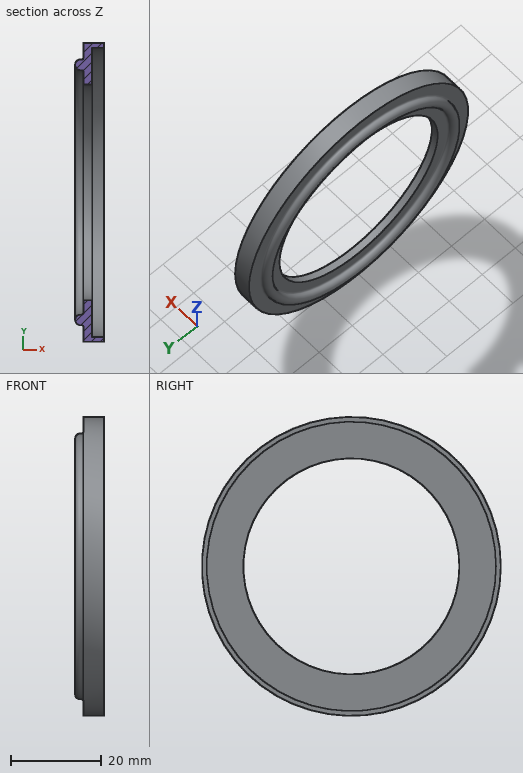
import cadquery as cq

outer_diameter = 66.2
bore_diameter = 47.7
total_thickness = 6.4
bead_height = 1.85
ring_thickness = total_thickness - bead_height

recess_diameter = 64.0
web_thickness = 1.9

bead_outer_diameter = 58.9
bead_inner_diameter = 54.1
root_fillet = 0.4

bead_outer_radius = bead_outer_diameter / 2
bead_inner_radius = bead_inner_diameter / 2
bead_middle_radius = (bead_outer_radius + bead_inner_radius) / 2
crown_radius = (bead_outer_radius - bead_inner_radius) / 2
bead_wall_height = bead_height - crown_radius


def make_ring():
    """Recessed ring from the bead-side face at X = 0 towards +X."""
    ring = (
        cq.Workplane("YZ")
        .circle(outer_diameter / 2)
        .circle(bore_diameter / 2)
        .extrude(ring_thickness)
    )
    recess = (
        cq.Workplane("YZ")
        .workplane(offset=web_thickness)
        .circle(recess_diameter / 2)
        .extrude(ring_thickness - web_thickness)
    )
    return ring.cut(recess)


def make_bead():
    """Bead section with a semicircular crown, revolved about the X axis."""
    return (
        cq.Workplane("XY")
        .moveTo(0, bead_inner_radius)
        .lineTo(-bead_wall_height, bead_inner_radius)
        .threePointArc(
            (-bead_height, bead_middle_radius),
            (-bead_wall_height, bead_outer_radius),
        )
        .lineTo(0, bead_outer_radius)
        .close()
        .revolve(360, (0, 0, 0), (1, 0, 0))
    )


def make_root_fillet(wall_radius, outward):
    """Concave fillet between a bead wall and the ring face; outward is +1 or -1."""
    foot_radius = wall_radius + outward * root_fillet
    arc_offset = root_fillet * (1 - 0.5 ** 0.5)
    return (
        cq.Workplane("XY")
        .moveTo(0, wall_radius)
        .lineTo(-root_fillet, wall_radius)
        .threePointArc(
            (-arc_offset, wall_radius + outward * arc_offset),
            (0, foot_radius),
        )
        .close()
        .revolve(360, (0, 0, 0), (1, 0, 0))
    )


result = (
    make_ring()
    .union(make_bead())
    .union(make_root_fillet(bead_outer_radius, 1))
    .union(make_root_fillet(bead_inner_radius, -1))
)